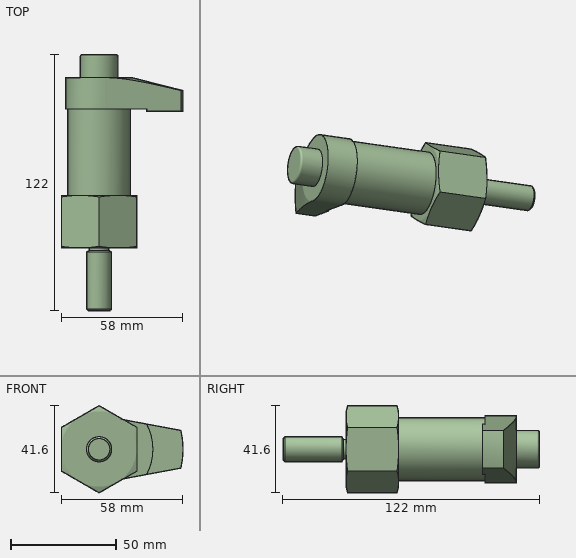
import cadquery as cq
import math


stud_diameter = 12.0
stud_length = 30.0
stud_tip_chamfer = 0.9
neck_diameter = 9.4
neck_end = 1.2
neck_taper_length = 0.8

hex_across_flats = 36.0
hex_length = 25.0
hex_chamfer_angle = 15.0
hex_face_diameter = 35.9

sleeve_diameter = 30.0
sleeve_length = 41.0

hub_radius = 16.0
hub_length = 15.0
lever_reach = 40.0
lever_tip_width = 18.0
lever_top_drop = 6.1
pad_inner_radius = 25.6
pad_thickness = 1.0

button_diameter = 18.0
button_length = 11.0
button_edge_radius = 1.0

sleeve_start = hex_length
hub_start = sleeve_start + sleeve_length
hub_end = hub_start + hub_length


def revolve_about_y(points):
    """Turn a closed (radius, y) outline about the Y axis."""
    return cq.Workplane("XY").polyline(points).close().revolve(360, (0, 0, 0), (0, 1, 0))


def cylinder_along_y(diameter, start, length):
    """Cylinder on the Y axis that begins at y = start and runs toward +Y."""
    return cq.Workplane("XZ", origin=(0, start, 0)).circle(diameter / 2).extrude(-length)


def make_stud():
    radius = stud_diameter / 2
    neck_radius = neck_diameter / 2
    return revolve_about_y([
        (0, 0),
        (neck_radius, 0),
        (neck_radius, -neck_end),
        (radius, -neck_end - neck_taper_length),
        (radius, -stud_length + stud_tip_chamfer),
        (radius - stud_tip_chamfer, -stud_length),
        (0, -stud_length),
    ])


def make_hexagon():
    """Hexagon with flats facing +X and -X and its corners turned off at both ends."""
    corner_diameter = hex_across_flats / math.cos(math.radians(30))
    prism = (
        cq.Workplane("XZ")
        .polygon(6, corner_diameter)
        .extrude(-hex_length)
        .rotate((0, 0, 0), (0, 1, 0), 30)
    )
    face_radius = hex_face_diameter / 2
    corner_radius = corner_diameter / 2
    chamfer_depth = (corner_radius - face_radius) * math.tan(math.radians(hex_chamfer_angle))
    envelope = revolve_about_y([
        (0, 0),
        (face_radius, 0),
        (corner_radius, chamfer_depth),
        (corner_radius, hex_length - chamfer_depth),
        (face_radius, hex_length),
        (0, hex_length),
    ])
    return prism.intersect(envelope)


def make_lever():
    """Round hub with an arm: flat flanks, and end faces turned about the hub axis."""
    tip_half_width = lever_tip_width / 2
    tip_corner_x = math.sqrt(lever_reach**2 - tip_half_width**2)
    flank_angle = math.asin(hub_radius / lever_reach) - math.asin(tip_half_width / lever_reach)
    tangent_x = hub_radius * math.sin(flank_angle)
    tangent_z = hub_radius * math.cos(flank_angle)

    pad_start = hub_start - pad_thickness
    outline = (
        cq.Workplane("XZ", origin=(0, pad_start, 0))
        .moveTo(tangent_x, tangent_z)
        .lineTo(tip_corner_x, tip_half_width)
        .threePointArc((lever_reach, 0), (tip_corner_x, -tip_half_width))
        .lineTo(tangent_x, -tangent_z)
        .threePointArc((-hub_radius, 0), (tangent_x, tangent_z))
        .close()
        .extrude(-(hub_length + pad_thickness))
    )
    turned = revolve_about_y([
        (0, hub_start),
        (pad_inner_radius, hub_start),
        (pad_inner_radius, pad_start),
        (lever_reach, pad_start),
        (lever_reach, hub_end - lever_top_drop),
        (hub_radius, hub_end),
        (0, hub_end),
    ])
    return outline.intersect(turned)


def make_button():
    button = cylinder_along_y(button_diameter, hub_end, button_length)
    return button.faces(">Y").edges().fillet(button_edge_radius)


sleeve = cylinder_along_y(sleeve_diameter, sleeve_start, sleeve_length)

result = (
    make_hexagon()
    .union(make_stud())
    .union(sleeve)
    .union(make_lever())
    .union(make_button())
)